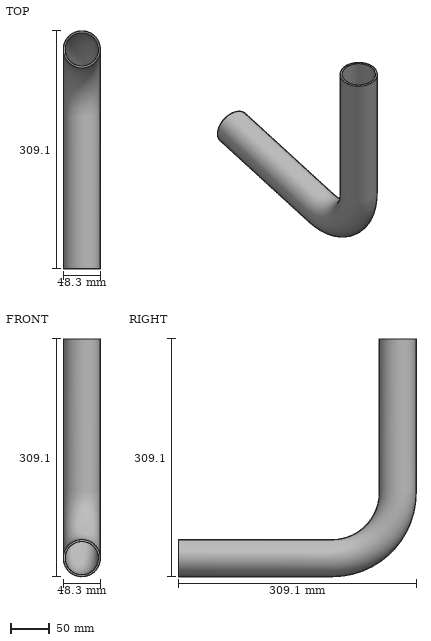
import cadquery as cq
import math

outer_diameter = 48.3
wall_thickness = 2.6
bend_radius = 85.0
leg_length = 200.0
bend_angle = math.radians(90)

outer_radius = outer_diameter / 2
inner_radius = outer_radius - wall_thickness


def bend_point(angle):
    """Centreline point (Y, Z) after turning through the given angle."""
    return (bend_radius * math.sin(angle), bend_radius * (1 - math.cos(angle)))


def centreline():
    """Path in the YZ plane: along +Y, through the quarter bend, then up +Z."""
    return (
        cq.Workplane("YZ")
        .moveTo(-leg_length, 0)
        .lineTo(0, 0)
        .threePointArc(bend_point(bend_angle / 2), bend_point(bend_angle))
        .line(0, leg_length)
    )


def pipe():
    """Annular cross-section swept from the horizontal end to the vertical end."""
    section = (
        cq.Workplane("XZ", origin=(0, -leg_length, 0))
        .circle(outer_radius)
        .circle(inner_radius)
    )
    return section.sweep(centreline())


result = pipe()